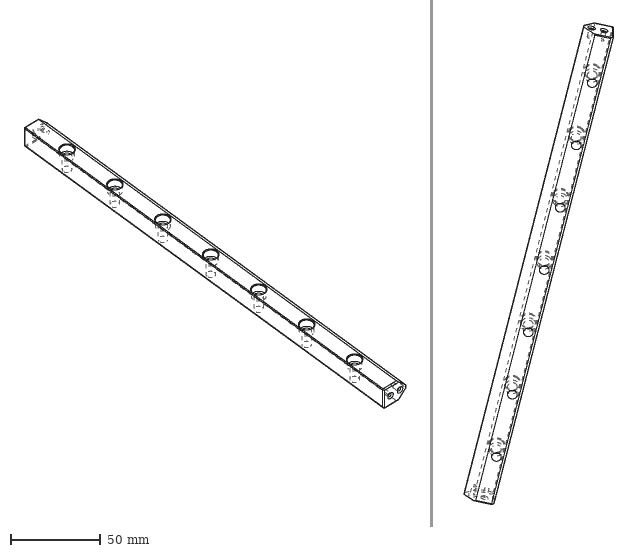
import cadquery as cq
import math

length = 300.0
width = 17.0
height = 15.0
nose_slope = 6.45
back_bottom_chamfer = 1.5
back_top_chamfer = 0.5
start_chamfer = 0.5
end_chamfer = 1.0

hole_count = 7
hole_margin = 30.0
hole_from_back = 5.5
hole_diameter = 5.5
counterbore_diameter = 8.5
counterbore_depth = 5.0
counterbore_chamfer = 0.45

end_hole_diameter = 2.5
end_sink_diameter = 4.2
end_hole_depth = 6.0
end_hole_tip_angle = 118
end_hole_from_nose = 4.5
end_hole_spacing = 7.2

hole_pitch = (length - 2 * hole_margin) / (hole_count - 1)
nose_start = width - nose_slope


def rail_body():
    """Bar with its back at Y = 0 and its underside at Z = 0."""
    profile = [
        (back_bottom_chamfer, 0),
        (nose_start, 0),
        (width, nose_slope),
        (width, height - nose_slope),
        (nose_start, height),
        (back_top_chamfer, height),
        (0, height - back_top_chamfer),
        (0, back_bottom_chamfer),
    ]
    return cq.Workplane("YZ").polyline(profile).close().extrude(length)


def plan_outline():
    """Prism seen from above, with its back corners bevelled."""
    outline = [
        (start_chamfer, 0),
        (length - end_chamfer, 0),
        (length, end_chamfer),
        (length, width),
        (0, width),
        (0, start_chamfer),
    ]
    return cq.Workplane("XY").polyline(outline).close().extrude(height)


def side_outline():
    """Prism seen from the back, with all four corners bevelled."""
    outline = [
        (start_chamfer, 0),
        (length - end_chamfer, 0),
        (length, end_chamfer),
        (length, height - end_chamfer),
        (length - end_chamfer, height),
        (start_chamfer, height),
        (0, height - start_chamfer),
        (0, start_chamfer),
    ]
    return cq.Workplane("XZ").polyline(outline).close().extrude(-width)


def mounting_hole(x):
    """Through hole at x with a chamfered counterbore, as a solid to cut away."""
    hole_radius = hole_diameter / 2
    bore_radius = counterbore_diameter / 2
    mouth_radius = bore_radius + counterbore_chamfer
    half_section = [
        (0, 0),
        (hole_radius, 0),
        (hole_radius, height - counterbore_depth),
        (bore_radius, height - counterbore_depth),
        (bore_radius, height - counterbore_chamfer),
        (mouth_radius, height),
        (0, height),
    ]
    section = cq.Workplane("XZ").polyline(half_section).close()
    return section.revolve(360, (0, 0, 0), (0, 1, 0)).translate((x, hole_from_back, 0))


def end_hole(x, y, inward):
    """Countersunk blind hole entering the end at x; inward is +1 or -1 along X."""
    drill_radius = end_hole_diameter / 2
    sink_radius = end_sink_diameter / 2
    start = cq.Vector(x, y, height / 2)
    direction = cq.Vector(inward, 0, 0)
    drill = cq.Solid.makeCylinder(drill_radius, end_hole_depth, start, direction)
    sink = cq.Solid.makeCone(sink_radius, drill_radius, sink_radius - drill_radius, start, direction)
    tip_length = drill_radius / math.tan(math.radians(end_hole_tip_angle / 2))
    tip_start = start + direction * end_hole_depth
    tip = cq.Solid.makeCone(drill_radius, 0, tip_length, tip_start, direction)
    return cq.Workplane(drill.fuse(sink, tip))


result = rail_body().intersect(plan_outline()).intersect(side_outline())
for i in range(hole_count):
    result = result.cut(mounting_hole(hole_margin + i * hole_pitch))
first_end_hole = width - end_hole_from_nose
for y in (first_end_hole, first_end_hole - end_hole_spacing):
    result = result.cut(end_hole(0, y, 1))
    result = result.cut(end_hole(length, y, -1))
result = result.translate((-length / 2, -width / 2, -height / 2))